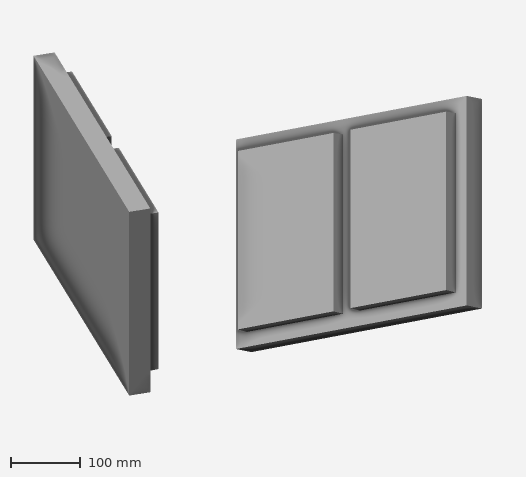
import cadquery as cq

panel_width = 459.0
panel_height = 306.0
panel_thickness = 31.5

total_depth = 51.0
pad_depth = total_depth - panel_thickness
pad_draft = 2.0
side_margin = 21.5
end_margin = 22.0
pad_gap = 33.0
pad_width = (panel_width - 2 * side_margin - pad_gap) / 2
pad_height = panel_height - 2 * end_margin
pad_offset = (pad_gap + pad_width) / 2


def block(width, depth, height, center_x, front_y, draft=0):
    """Block centred in Z that grows toward +Y from front_y, narrowing by the draft angle."""
    plane = cq.Plane(origin=(center_x, front_y, 0), xDir=(1, 0, 0), normal=(0, 1, 0))
    return cq.Workplane(plane).rect(width, height).extrude(depth, taper=draft)


result = block(panel_width, panel_thickness, panel_height, 0, 0)
for side in (-1, 1):
    pad = block(pad_width, pad_depth, pad_height, side * pad_offset, panel_thickness, pad_draft)
    result = result.union(pad)